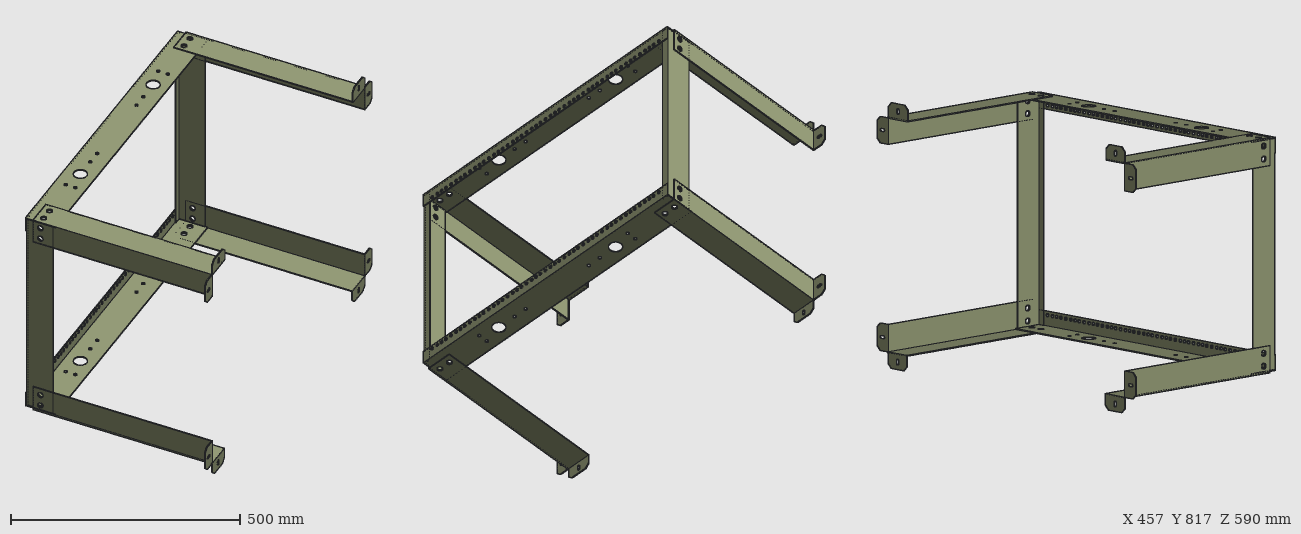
import cadquery as cq


depth = 457.0
width = 817.0
height = 590.0
front_x = -depth / 2
wall_x = depth / 2

sheet = 2.5
tab_height = 33.5
narrow_leg = 60.5
wide_leg = narrow_leg + sheet
arm_setback = 20.0
tab_corner = 10.0
tab_relief = 2.0
tab_slot_length = 13.0
tab_slot_width = 6.5

arm_y = width / 2 - tab_height
arm_z = height / 2 - tab_height
frame_y = arm_y - sheet
frame_z = arm_z - sheet

rail_depth = 73.5
rail_lip = 35.0
post_depth = 65.0
post_lip = 17.0
post_front_x = front_x + sheet
post_z = frame_z - sheet

bolt_diameter = 13.0
bolt_setback = 37.5
bolt_x = front_x + bolt_setback
bolt_offset = 17.0
bolt_pitch = 28.5
bolt_offsets = [bolt_offset, bolt_offset + bolt_pitch]

row_hole_diameter = 7.0
row_length = 691.0
row_groups = 12
short_gap = 13.0
row_hole_drop = 26.0
row_hole_z = frame_z - row_hole_drop

cable_hole_diameter = 31.0
cable_hole_y = 178.0
small_hole_diameter = 7.0
small_hole_ys = [96.0, 130.0]
pair_y = 226.0
pair_spacing = 24.0


def box(x_range, y_range, z_range):
    """A box between two limits on each axis."""
    (x0, x1), (y0, y1), (z0, z1) = x_range, y_range, z_range
    return cq.Workplane("XY").box(x1 - x0, y1 - y0, z1 - z0, centered=False).translate((x0, y0, z0))


def cylinders_along_x(diameter, points):
    """Cutters through the whole rack along X at (y, z) points."""
    return cq.Workplane("YZ", origin=(front_x, 0, 0)).pushPoints(points).circle(diameter / 2).extrude(depth)


def row_hole_positions():
    """Y of every hole in the row: the hole between groups and the three inside each group."""
    group_length = row_length / row_groups
    positions = [row_length / 2]
    for group in range(row_groups):
        middle = (group + 0.5) * group_length - row_length / 2
        positions += [middle - group_length / 2, middle - short_gap, middle, middle + short_gap]
    return positions


def make_top_rail():
    """The top angle rail: a flat with its holes, and a front lip with a row of holes."""
    flat = box((front_x, front_x + rail_depth), (-frame_y, frame_y), (frame_z - sheet, frame_z))
    lip = box((front_x, front_x + sheet), (-frame_y, frame_y), (frame_z - rail_lip, frame_z))
    rail = flat.union(lip, clean=True)

    row_points = [(y, row_hole_z) for y in row_hole_positions()]
    rail = rail.cut(cylinders_along_x(row_hole_diameter, row_points))

    bolts = []
    cable_holes = []
    small_holes = []
    for side in (-1, 1):
        bolts += [(bolt_x, side * (arm_y - offset)) for offset in bolt_offsets]
        cable_holes.append((bolt_x, side * cable_hole_y))
        small_holes += [(bolt_x, side * y) for y in small_hole_ys]
        small_holes += [(bolt_x + shift * pair_spacing / 2, side * pair_y) for shift in (-1, 1)]

    for diameter, points in (
        (bolt_diameter, bolts),
        (cable_hole_diameter, cable_holes),
        (small_hole_diameter, small_holes),
    ):
        cutters = cq.Workplane("XY", origin=(0, 0, frame_z - sheet)).pushPoints(points)
        rail = rail.cut(cutters.circle(diameter / 2).extrude(sheet))
    return rail


def make_left_post():
    """The +Y angle post, standing between the top and bottom rails behind their lips."""
    z_range = (-post_z, post_z)
    web = box((post_front_x, post_front_x + post_depth), (frame_y - sheet, frame_y), z_range)
    lip = box((post_front_x, post_front_x + sheet), (frame_y - post_lip, frame_y), z_range)
    bolts = [(bolt_x, side * (arm_z - offset)) for side in (-1, 1) for offset in bolt_offsets]
    cutters = cq.Workplane("XZ", origin=(0, frame_y, 0)).pushPoints(bolts).circle(bolt_diameter / 2)
    return web.union(lip, clean=True).cut(cutters.extrude(sheet))


def make_leg(leg_width):
    """One leg of an arm, lying flat with its top face at Z = 0 and the arm's corner along Y = 0.

    It runs back to the wall, where it turns up into a tab with a slot.
    """
    plate = box((front_x + arm_setback, wall_x), (-leg_width, 0), (-sheet, 0))
    bolts = [(bolt_x, -offset) for offset in bolt_offsets]
    plate = plate.cut(cq.Workplane("XY").pushPoints(bolts).circle(bolt_diameter / 2).extrude(-sheet))

    tab = box((wall_x - sheet, wall_x), (-leg_width, -tab_relief), (-sheet, tab_height))
    tab = tab.edges("|X and >Z").chamfer(tab_corner)
    slot_y = -(leg_width + tab_relief) / 2
    slot = cq.Workplane("YZ", origin=(wall_x - sheet, slot_y, tab_height / 2))
    slot = slot.slot2D(tab_slot_length, tab_slot_width, 90).extrude(sheet)
    return plate.union(tab.cut(slot), clean=True)


def make_arm():
    """An angle arm with its outer corner along the X axis: narrow leg on top, wide leg on +Y."""
    top_leg = make_leg(narrow_leg)
    side_leg = make_leg(wide_leg).mirror("XZ").rotate((0, 0, 0), (1, 0, 0), -90)
    return top_leg.union(side_leg, clean=True)


def make_arms():
    """Four copies of the arm, turned a quarter turn from each corner to the next."""
    arm = make_arm()
    corners = [(1, 1), (-1, 1), (-1, -1), (1, -1)]
    arms = []
    for turn, (side_y, side_z) in enumerate(corners):
        turned = arm.rotate((0, 0, 0), (1, 0, 0), 90 * turn)
        arms.append(turned.translate((0, side_y * arm_y, side_z * arm_z)))
    return arms


top_rail = make_top_rail()
left_post = make_left_post()
rails = [top_rail, top_rail.mirror("XY")]
posts = [left_post, left_post.mirror("XZ")]
arms = make_arms()

result = cq.Compound.makeCompound([body.val() for body in rails + posts + arms])